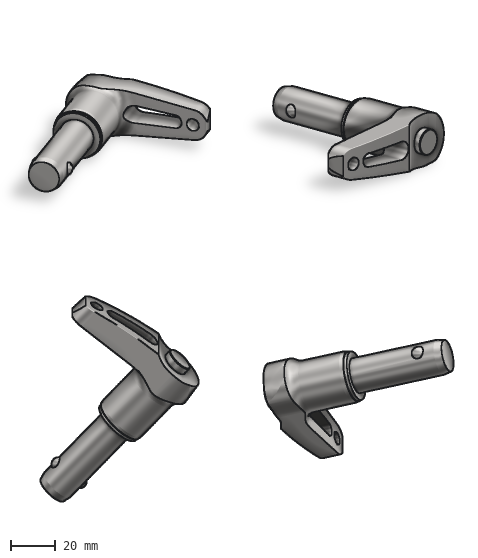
import cadquery as cq
import math

total_length = 86.2

pin_radius = 8.0
pin_tip_radius = 7.2
pin_tip_length = 3.45
ball_radius = 3.4
ball_reach = 9.5
ball_height = 11.3

collar_radius = 11.1
collar_bottom = 44.05
collar_top = 45.6
sleeve_radius = 11.8
sleeve_taper_radius = 11.55
sleeve_bottom = 47.5
sleeve_top = 67.15
flare_radius = 6.0
flare_outer_radius = sleeve_radius + flare_radius
flare_top = sleeve_top + flare_radius

hub_back_radius = 12.1
hub_back = -15.2
hub_back_center = hub_back + hub_back_radius
hub_side_start = -4.6
hub_width = 24.7
hub_side_peak = (-1.4, hub_width / 2)
arm_side_start = (1.4, 12.2)
arm_half_angle = 6.1
arm_end = 52.1
tip_radius = 6.9
tip_flat_half_width = 0.6

rim_height = 83.2
rim_radius = 13.8
rim_end = -8.4
rim_base_height = 72.6
rim_base_radius = -hub_back
seat_height = 82.5
seat_end = 1.4
shoulder_mid = (7.3, 83.3)
shoulder = (12.1, 85.4)
arm_back_mid = (31.0, 83.8)
arm_end_top = (50.6, 80.1)
arm_end_bottom = 71.5
arm_edge_radius = 1.0
back_edge_radius = 0.35

slot_start = 12.8
slot_big_radius = 4.3
slot_end = 39.7
slot_small_radius = 3.2
eye_center = 45.2
eye_radius = 2.9

button_radius = 5.95
button_edge = 0.3

overcut = 8.6


def along_pin(x=0.0):
    """Sketch plane across the pin; local X is +X and local Y is +Z."""
    return cq.Workplane("XZ", origin=(x, 0, 0))


def make_handle_outline():
    side_height = math.sqrt(hub_back_radius**2 - (hub_side_start - hub_back_center) ** 2)
    half_angle = math.radians(arm_half_angle)
    tip_center = (arm_end - tip_radius, tip_flat_half_width)

    def tip_point(angle):
        x = tip_center[0] + tip_radius * math.cos(angle)
        return (x, tip_center[1] + tip_radius * math.sin(angle))

    tip_start_angle = math.pi / 2 - half_angle
    upper_half = (
        along_pin()
        .moveTo(hub_back, 0)
        .threePointArc(
            (
                hub_back_center - hub_back_radius * math.cos(math.pi / 4),
                hub_back_radius * math.sin(math.pi / 4),
            ),
            (hub_side_start, side_height),
        )
        .threePointArc(hub_side_peak, arm_side_start)
        .lineTo(*tip_point(tip_start_angle))
        .threePointArc(tip_point(tip_start_angle / 2), (arm_end, tip_flat_half_width))
        .lineTo(arm_end, 0)
        .close()
        .extrude(-total_length)
    )
    return upper_half.union(upper_half.mirror("XY"))


def make_handle_profile():
    return (
        cq.Workplane("XY")
        .moveTo(hub_back, sleeve_top)
        .lineTo(hub_back, rim_height)
        .lineTo(rim_end, rim_height)
        .lineTo(hub_side_start, seat_height)
        .lineTo(seat_end, seat_height)
        .threePointArc(shoulder_mid, shoulder)
        .threePointArc(arm_back_mid, arm_end_top)
        .lineTo(arm_end, arm_end_bottom)
        .lineTo(flare_outer_radius, flare_top)
        .lineTo(flare_outer_radius, sleeve_top)
        .close()
        .extrude(flare_outer_radius, both=True)
        .edges(cq.selectors.NearestToPointSelector((arm_end, arm_end_bottom, 0)))
        .fillet(arm_edge_radius)
    )


def make_flare_clearance():
    """Ring outside the concave flare, leaving the sleeve to blend into the hub."""
    arc_mid_x = flare_outer_radius - flare_radius * math.cos(math.pi / 4)
    arc_mid_y = sleeve_top + flare_radius * math.sin(math.pi / 4)
    ring_radius = flare_outer_radius + overcut
    ring = (
        cq.Workplane("XY")
        .moveTo(sleeve_radius, sleeve_top)
        .threePointArc((arc_mid_x, arc_mid_y), (flare_outer_radius, flare_top))
        .lineTo(ring_radius, flare_top)
        .lineTo(ring_radius, sleeve_top)
        .close()
        .revolve(360, (0, 0, 0), (0, 1, 0))
    )
    hub_zone = cq.Workplane("XY").box(2 * flare_outer_radius, 2 * total_length, 2 * ring_radius)
    return ring.intersect(hub_zone)


def make_rim_clearance():
    """Material behind the hub that lies outside the tapered rim."""
    slope = (rim_radius - rim_base_radius) / (rim_height - rim_base_height)
    base_radius = rim_base_radius - slope * rim_base_height
    top_radius = rim_base_radius + slope * (total_length - rim_base_height)
    cone = (
        cq.Workplane("XY")
        .polyline([(0, 0), (base_radius, 0), (top_radius, total_length), (0, total_length)])
        .close()
        .revolve(360, (0, 0, 0), (0, 1, 0))
    )
    size = 2 * flare_outer_radius
    rear_block = (
        cq.Workplane("XY")
        .box(size, total_length, 2 * size, centered=(False, False, True))
        .translate((hub_side_start - size, 0, 0))
    )
    return rear_block.cut(cone)


def make_slot():
    """Tapered slot whose straight sides are tangent to both round ends."""
    big_center = slot_start + slot_big_radius
    small_center = slot_end - slot_small_radius
    lean = (slot_big_radius - slot_small_radius) / (small_center - big_center)
    rise = math.sqrt(1 - lean**2)
    big_x = big_center + slot_big_radius * lean
    small_x = small_center + slot_small_radius * lean
    return (
        along_pin()
        .moveTo(big_x, -slot_big_radius * rise)
        .threePointArc((slot_start, 0), (big_x, slot_big_radius * rise))
        .lineTo(small_x, slot_small_radius * rise)
        .threePointArc((slot_end, 0), (small_x, -slot_small_radius * rise))
        .close()
        .extrude(-total_length)
    )


def make_handle():
    handle = make_handle_outline().intersect(make_handle_profile())
    back_edges = cq.selectors.BoxSelector(
        (shoulder[0], arm_end_top[1], -flare_outer_radius),
        (arm_end, total_length, flare_outer_radius),
    )
    handle = handle.edges(back_edges).edges("not |Z").fillet(back_edge_radius)
    handle = handle.cut(make_flare_clearance()).cut(make_rim_clearance())
    eye = along_pin(eye_center).circle(eye_radius).extrude(-total_length)
    return handle.cut(make_slot()).cut(eye)


def make_pin_and_sleeve():
    return (
        cq.Workplane("XY")
        .polyline([
            (0, 0),
            (pin_tip_radius, 0),
            (pin_radius, pin_tip_length),
            (pin_radius, collar_bottom),
            (collar_radius, collar_bottom),
            (collar_radius, collar_top),
            (sleeve_taper_radius, collar_top),
            (sleeve_radius, sleeve_bottom),
            (sleeve_radius, sleeve_top),
            (0, sleeve_top),
        ])
        .close()
        .revolve(360, (0, 0, 0), (0, 1, 0))
    )


def make_button():
    button_height = total_length - sleeve_top
    return (
        cq.Workplane("XZ", origin=(0, sleeve_top, 0))
        .circle(button_radius)
        .extrude(-button_height)
        .faces(">Y")
        .edges()
        .chamfer(button_edge)
    )


result = make_pin_and_sleeve().union(make_handle()).union(make_button())
for side in (-1, 1):
    ball_center = (side * (ball_reach - ball_radius), ball_height, 0)
    result = result.union(cq.Workplane("XY").sphere(ball_radius).translate(ball_center))